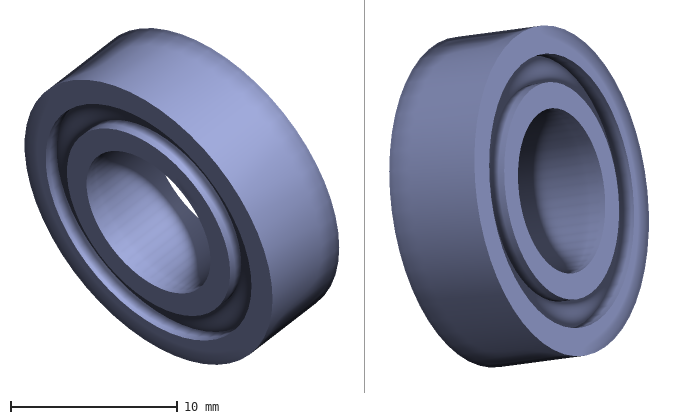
import cadquery as cq

outer_diameter = 20.0
bore_diameter = 10.0
width = 6.0

recess_outer_diameter = 16.6
recess_inner_diameter = 13.15
recess_depth = 1.0


def ring(large_diameter, small_diameter, start_y, length):
    """Plain ring around the Y axis, running from start_y toward +Y."""
    return (
        cq.Workplane("XZ", origin=(0, start_y, 0))
        .circle(large_diameter / 2)
        .circle(small_diameter / 2)
        .extrude(-length)
    )


result = ring(outer_diameter, bore_diameter, -width / 2, width)

for recess_start in (-width / 2, width / 2 - recess_depth):
    recess = ring(recess_outer_diameter, recess_inner_diameter, recess_start, recess_depth)
    result = result.cut(recess)